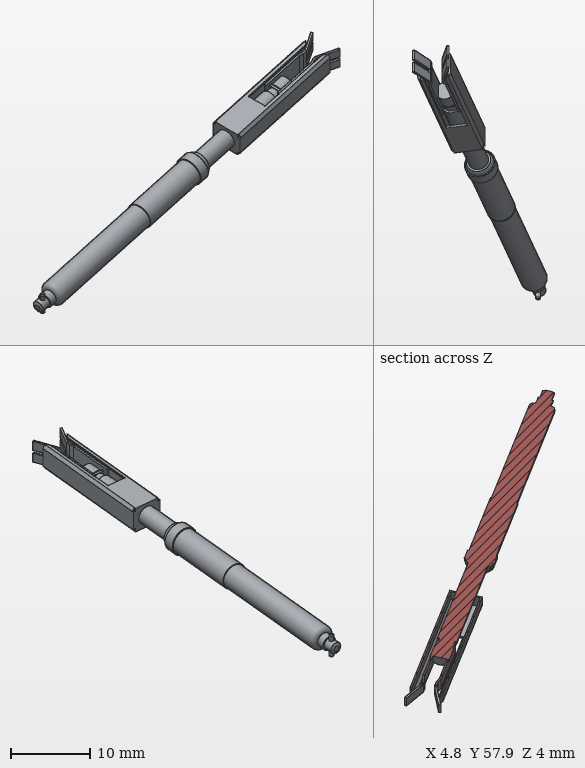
import cadquery as cq
import math

TOTAL_LENGTH = 57.9

tip_radius = 0.4
tip_chamfer_end = 0.2
tail_radius = 0.8
tail_end = 1.5
neck_radius = 1.015
neck_end = 2.55
barrel_radius = 1.71
barrel_round = barrel_radius - neck_radius
barrel_end = 20.5

sleeve_radius = 1.825
sleeve_end = 30.4
collar_radius = 2.0
collar_end = 31.85
crown_end = 32.55
crown_top_radius = 1.59
crown_bulge = 0.05

rod_radius = 1.3
rod_end = 46.6
rod_neck_radius = 1.05
head_radius = 1.3
head_start = 48.0
head_end = 49.95

pin_diameter = 0.65
pin_length = 3.4
pin_chamfer = 0.145
pin_y = 1.05

box_width = 4.35
box_height = 3.65
box_start = 37.9
box_end = 56.05
box_wall = 0.3
box_chamfer_x = 0.35
box_chamfer_z = 0.45
corner_relief = 0.25
slot_width = 2.7
slot_start = 44.0
mouth_width = 3.6
mouth_depth = 0.6

clip_width = 4.8
clip_height = 3.2
clip_base_start = 47.65
clip_base_height = 2.2
leaf_thickness = 0.3
leaf_start = 47.0
leaf_inner_x = 0.9
pinch_inner_x = 0.725
pinch_approach = 53.75
pinch_start = 54.3
pinch_end = 54.9
leaf_tip_drop = 0.1
slit_width = 0.45


def turned_body():
    """Revolve the radius-versus-Y outline of every round section."""
    round_middle = barrel_round * math.sqrt(0.5)
    profile = (
        cq.Workplane("XY")
        .moveTo(0, 0)
        .lineTo(tip_radius, 0)
        .lineTo(tail_radius, tip_chamfer_end)
        .lineTo(tail_radius, tail_end)
        .lineTo(neck_radius, tail_end)
        .lineTo(neck_radius, neck_end)
        .threePointArc(
            (neck_radius + round_middle, neck_end + barrel_round - round_middle),
            (barrel_radius, neck_end + barrel_round),
        )
        .lineTo(barrel_radius, barrel_end)
        .lineTo(sleeve_radius, barrel_end)
        .lineTo(sleeve_radius, sleeve_end)
        .lineTo(collar_radius, sleeve_end)
        .lineTo(collar_radius, collar_end)
        .lineTo(sleeve_radius, collar_end)
        .sagittaArc((crown_top_radius, crown_end), -crown_bulge)
        .lineTo(rod_radius, crown_end)
        .lineTo(rod_radius, rod_end)
        .lineTo(rod_neck_radius, rod_end)
        .lineTo(rod_neck_radius, head_start)
        .lineTo(head_radius, head_start)
        .lineTo(head_radius, head_end)
        .lineTo(0, head_end)
        .close()
    )
    return profile.revolve(360, (0, 0, 0), (0, 1, 0))


def cross_pin():
    """Round pin standing along Z through the tail."""
    pin = cq.Workplane("XY").center(0, pin_y).circle(pin_diameter / 2).extrude(pin_length / 2, both=True)
    return pin.faces("|Z").chamfer(pin_chamfer)


def octagon_bar(inset, y_start, y_end):
    """Bar along Y with the box's chamfered cross-section, shrunk on each side by inset."""
    half_x = box_width / 2 - inset
    half_z = box_height / 2 - inset
    flat_x = half_x - box_chamfer_x
    flat_z = half_z - box_chamfer_z
    outline = [
        (half_x, flat_z), (flat_x, half_z), (-flat_x, half_z), (-half_x, flat_z),
        (-half_x, -flat_z), (-flat_x, -half_z), (flat_x, -half_z), (half_x, -flat_z),
    ]
    bar = cq.Workplane("XZ").polyline(outline).close().extrude(y_start - y_end)
    return bar.translate((0, y_start, 0))


def box():
    """Thin box, open at the mouth, slotted through its top and bottom walls."""
    shell = octagon_bar(0, box_start, box_end).cut(octagon_bar(box_wall, box_start + box_wall, box_end))
    slot_half = slot_width / 2
    mouth_half = mouth_width / 2
    slot = (
        cq.Workplane("XY")
        .polyline([
            (-slot_half, slot_start), (slot_half, slot_start), (slot_half, box_end - mouth_depth),
            (mouth_half, box_end), (-mouth_half, box_end), (-slot_half, box_end - mouth_depth),
        ])
        .close()
        .extrude(box_height / 2, both=True)
    )
    shell = shell.cut(slot)
    for side_x in (-1, 1):
        for side_z in (-1, 1):
            relief = cq.Workplane("XY").box(2 * box_chamfer_x, 2 * corner_relief, 2 * box_chamfer_z)
            shell = shell.cut(
                relief.translate((side_x * box_width / 2, box_start, side_z * box_height / 2))
            )
    return shell


def clip():
    """Base plate with two mirrored leaves that pinch inward, then flare out and are slit in two."""
    tip_outer_x = clip_width / 2
    leaf = (
        cq.Workplane("XY")
        .polyline([
            (leaf_inner_x, leaf_start),
            (leaf_inner_x, pinch_approach),
            (pinch_inner_x, pinch_start),
            (pinch_inner_x, pinch_end),
            (tip_outer_x - leaf_thickness, TOTAL_LENGTH),
            (tip_outer_x, TOTAL_LENGTH - leaf_tip_drop),
            (pinch_inner_x + leaf_thickness, pinch_end),
            (pinch_inner_x + leaf_thickness, pinch_start),
            (leaf_inner_x + leaf_thickness, pinch_approach),
            (leaf_inner_x + leaf_thickness, leaf_start),
        ])
        .close()
        .extrude(clip_height / 2, both=True)
    )
    slit = cq.Workplane("XY").box(clip_width, TOTAL_LENGTH - pinch_end, slit_width)
    slit = slit.translate((0, (TOTAL_LENGTH + pinch_end) / 2, 0))
    base = cq.Workplane("XY").box(
        2 * leaf_inner_x + leaf_thickness, head_start - clip_base_start, clip_base_height
    )
    base = base.translate((0, (head_start + clip_base_start) / 2, 0))
    return leaf.union(leaf.mirror("YZ")).cut(slit).union(base)


result = turned_body().union(cross_pin()).union(box()).union(clip())